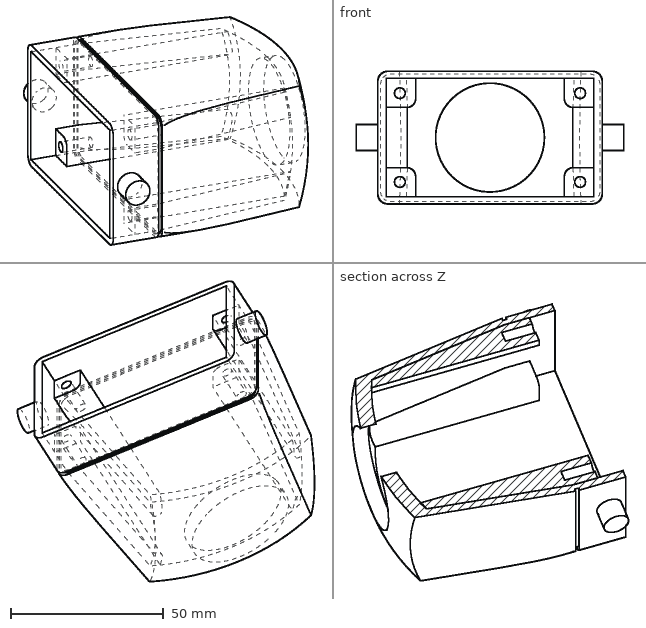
import cadquery as cq
import math

LENGTH = 75.6
WIDTH = 73.5
HEIGHT = 43.5
CORNER_RADIUS = 3.4

COLLAR_LENGTH = 16.1
GROOVE_WIDTH = 1.2
GROOVE_DEPTH = 0.9
TAPER_START = COLLAR_LENGTH + GROOVE_WIDTH
TAPER_ANGLE = 7.8

OPENING_DIAMETER = 35.5
DOME_RADIUS = 80.5
DOME_CENTER_Y = LENGTH - math.sqrt(DOME_RADIUS**2 - (OPENING_DIAMETER / 2) ** 2)

SIDE_WALL = 2.9
TOP_WALL = 2.4
BACK_WALL = 5.25
CAVITY_WIDTH = WIDTH - 2 * SIDE_WALL
CAVITY_HEIGHT = HEIGHT - 2 * TOP_WALL

PEG_SPAN = 87.5
PEG_DIAMETER = 8.6
PEG_Y = 5.8

POST_SIZE = 9.5
POST_FRONT_Y = 8.75
POST_RADIUS = 2.9
SCREW_DIAMETER = 3.5
SCREW_DEPTH = 10.5
SCREW_X = 29.5
SCREW_Z = 14.5


def block(width, height, start, end):
    """Box centred on the Y axis that runs from start to end along Y."""
    return cq.Workplane("XY").box(width, end - start, height).translate((0, (start + end) / 2, 0))


def tapered_dome(width, dome_radius):
    """Space bounded by straight then tapering sides and by the dome at the back."""
    half_width = width / 2
    back_half_width = half_width - (LENGTH - TAPER_START) * math.tan(math.radians(TAPER_ANGLE))
    sides = (
        cq.Workplane("XY")
        .workplane(offset=-HEIGHT / 2)
        .moveTo(-half_width, 0)
        .lineTo(half_width, 0)
        .lineTo(half_width, TAPER_START)
        .lineTo(back_half_width, LENGTH)
        .lineTo(-back_half_width, LENGTH)
        .lineTo(-half_width, TAPER_START)
        .close()
        .extrude(HEIGHT)
    )
    dome = (
        cq.Workplane("XY", origin=(0, DOME_CENTER_Y, 0))
        .moveTo(0, -dome_radius)
        .threePointArc((dome_radius, 0), (0, dome_radius))
        .close()
        .revolve(360, (0, 0), (0, 1))
    )
    return sides.intersect(dome)


def make_cavity():
    envelope = tapered_dome(CAVITY_WIDTH, DOME_RADIUS - BACK_WALL)
    return envelope.intersect(block(CAVITY_WIDTH, CAVITY_HEIGHT, 0, LENGTH))


def make_groove():
    outer = block(WIDTH, HEIGHT, COLLAR_LENGTH, TAPER_START)
    core_width = WIDTH - 2 * GROOVE_DEPTH
    core_height = HEIGHT - 2 * GROOVE_DEPTH
    core = block(core_width, core_height, COLLAR_LENGTH, TAPER_START).edges("|Y").fillet(CORNER_RADIUS)
    return outer.cut(core)


def make_hood(cavity):
    hood = block(WIDTH, HEIGHT, 0, LENGTH).edges("|Y").fillet(CORNER_RADIUS)
    hood = hood.intersect(tapered_dome(WIDTH, DOME_RADIUS))
    hood = hood.cut(make_groove())
    pegs = cq.Workplane("YZ").center(PEG_Y, 0).circle(PEG_DIAMETER / 2).extrude(PEG_SPAN / 2, both=True)
    opening = cq.Workplane("XZ").circle(OPENING_DIAMETER / 2).extrude(-LENGTH)
    return hood.union(pegs).cut(cavity).cut(opening)


def make_post(side_x, side_z, cavity):
    """Post in one cavity corner, reaching back to the dome, with a blind screw hole."""
    center_x = side_x * (CAVITY_WIDTH - POST_SIZE) / 2
    center_z = side_z * (CAVITY_HEIGHT - POST_SIZE) / 2
    inner_edge = ("<X" if side_x > 0 else ">X", "<Z" if side_z > 0 else ">Z")
    post = (
        block(POST_SIZE, POST_SIZE, POST_FRONT_Y, LENGTH)
        .faces(inner_edge[0])
        .edges(inner_edge[1])
        .fillet(POST_RADIUS)
        .translate((center_x, 0, center_z))
        .intersect(cavity)
    )
    screw_hole = (
        cq.Workplane("XZ", origin=(side_x * SCREW_X, POST_FRONT_Y, side_z * SCREW_Z))
        .circle(SCREW_DIAMETER / 2)
        .extrude(-SCREW_DEPTH)
    )
    return post.cut(screw_hole)


cavity = make_cavity()
hood = make_hood(cavity)
posts = [make_post(side_x, side_z, cavity) for side_x in (-1, 1) for side_z in (-1, 1)]

result = cq.Compound.makeCompound([hood.val(), *[post.val() for post in posts]])